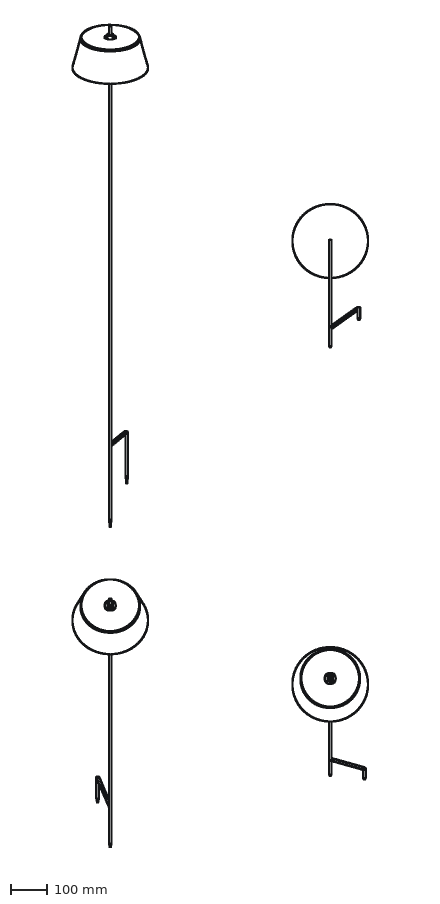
import cadquery as cq

total_height = 1534.0
rod_diameter = 8.0
rod_radius = rod_diameter / 2
point_length = 28.0
point_tip_radius = 2.0

shade_bottom = 1407.0
shade_top = 1500.0
shade_bottom_radius = 210.0 / 2
shade_top_radius = 83.0
shade_bevel_height = 5.0
shade_bevel_width = 3.0

recess_diameter = 30.0
recess_depth = 5.0
collar_diameter = 15.0
collar_height = 8.0

arm_height = 250.0
leg_offset = 98.0
leg_bottom = 92.0
bend_radius = 9.0


def cylinder(diameter, bottom, height):
    return cq.Workplane("XY").workplane(offset=bottom).circle(diameter / 2).extrude(height)


def ground_point(y, bottom):
    """Tapered end of a rod, narrowing downward to a small flat tip."""
    profile = [
        (0, bottom),
        (point_tip_radius, bottom),
        (rod_radius, bottom + point_length),
        (0, bottom + point_length),
    ]
    point = cq.Workplane("XZ").polyline(profile).close().revolve(360, (0, 0), (0, 1))
    return point.translate((0, y, 0))


def make_shade():
    profile = [
        (0, shade_bottom),
        (shade_bottom_radius, shade_bottom),
        (shade_top_radius, shade_top - shade_bevel_height),
        (shade_top_radius - shade_bevel_width, shade_top),
        (0, shade_top),
    ]
    return cq.Workplane("XZ").polyline(profile).close().revolve(360, (0, 0), (0, 1))


def make_side_stake():
    path = (
        cq.Workplane("YZ")
        .moveTo(0, arm_height)
        .lineTo(leg_offset - bend_radius, arm_height)
        .radiusArc((leg_offset, arm_height - bend_radius), bend_radius)
        .lineTo(leg_offset, leg_bottom + point_length)
    )
    section = cq.Workplane("XZ").center(0, arm_height).circle(rod_radius)
    return section.sweep(path).union(ground_point(leg_offset, leg_bottom))


pole = cylinder(rod_diameter, point_length, total_height - point_length)
recess = cylinder(recess_diameter, shade_top - recess_depth, recess_depth)
collar = cylinder(collar_diameter, shade_top - recess_depth, recess_depth + collar_height)

result = (
    pole.union(ground_point(0, 0))
    .union(make_shade().cut(recess))
    .union(collar)
    .union(make_side_stake())
)